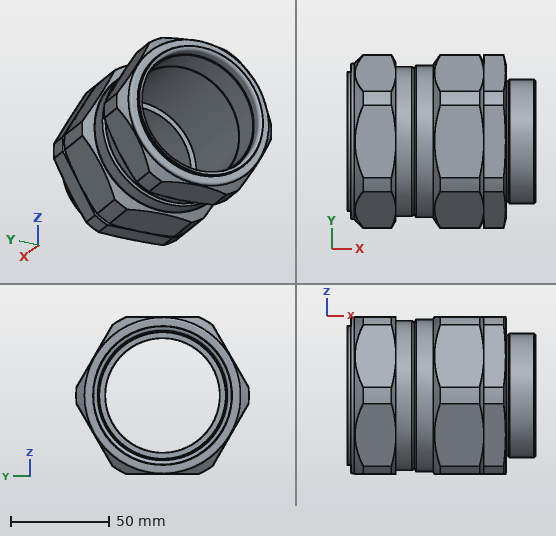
import cadquery as cq
import math

ACROSS_FLATS = 80.0
FLAT_R = ACROSS_FLATS / 2
CORNER_R = 44.0
ACROSS_CORNERS = ACROSS_FLATS / math.cos(math.pi / 6)
TOTAL_LENGTH = 95.7

LIP_R = 35.4
LIP_CHAMFER = 0.3
COLLAR_X = 1.7
COLLAR_R = 39.7
COLLAR_ROUND = 1.1

REAR_NUT_X = 3.5
REAR_NUT_FULL_X = 8.0
REAR_NUT_TAPER_X = 22.4
REAR_NUT_END_X = 24.7

BAND_1_R = 38.1
BAND_1_END_X = 32.8
GROOVE_R = 37.1
GROOVE_X = 34.1
BAND_2_R = 38.7
BAND_2_X = 34.9

MID_NUT_X = 43.5
MID_NUT_START_R = 38.95
MID_NUT_FULL_X = 47.2
MID_NUT_TAPER_X = 67.2
FLANGE_X = 69.4
FLANGE_TAPER_X = 79.4
FLANGE_END_X = 80.8
FLANGE_END_R = 38.6

SPIGOT_R = 31.6
SPIGOT_CHAMFER = 0.9
NECK_R = SPIGOT_R - SPIGOT_CHAMFER
NECK_END_X = 81.7
SPIGOT_X = NECK_END_X + SPIGOT_CHAMFER

MOUTH_R = 33.0
MOUTH_ROUND = 1.7
SEAT_X = 5.8
SEAT_R = 32.4
SLEEVE_X = 21.2
SLEEVE_R = 32.2
THROAT_X = FLANGE_X
THROAT_R = 29.1


def revolve_about_x(outline):
    """Spin a closed outline, drawn as (X, radius), about the X axis."""
    return outline.close().revolve(360, (0, 0, 0), (1, 0, 0))


def turned(points):
    """Solid of revolution whose outer profile is the given (X, radius) points."""
    start_x = points[0][0]
    end_x = points[-1][0]
    return revolve_about_x(cq.Workplane("XY").polyline([(start_x, 0), *points, (end_x, 0)]))


def hexagon(points):
    """Hexagonal section whose corners and ends are turned to the given profile."""
    start_x = points[0][0]
    length = points[-1][0] - start_x
    prism = cq.Workplane("YZ", origin=(start_x, 0, 0)).polygon(6, ACROSS_CORNERS).extrude(length)
    return prism.intersect(turned(points))


def entry_end():
    lip = turned([
        (0, LIP_R - LIP_CHAMFER),
        (LIP_CHAMFER, LIP_R),
        (COLLAR_X, LIP_R),
    ])
    collar = turned([(COLLAR_X, COLLAR_R), (REAR_NUT_X, COLLAR_R)])
    return lip.union(collar.faces("<X").edges().fillet(COLLAR_ROUND))


def bands():
    return turned([
        (REAR_NUT_END_X, BAND_1_R),
        (BAND_1_END_X, BAND_1_R),
        (GROOVE_X, GROOVE_R),
        (BAND_2_X, BAND_2_R),
        (MID_NUT_X, BAND_2_R),
    ])


def spigot():
    return turned([
        (FLANGE_END_X, NECK_R),
        (NECK_END_X, NECK_R),
        (SPIGOT_X, SPIGOT_R),
        (TOTAL_LENGTH - SPIGOT_CHAMFER, SPIGOT_R),
        (TOTAL_LENGTH, SPIGOT_R - SPIGOT_CHAMFER),
    ])


def bore():
    """Stepped through bore with a rounded mouth."""
    bend = MOUTH_ROUND * math.sqrt(0.5)
    round_center_r = MOUTH_R + MOUTH_ROUND
    outline = (
        cq.Workplane("XY")
        .moveTo(0, 0)
        .lineTo(0, round_center_r)
        .threePointArc((MOUTH_ROUND - bend, round_center_r - bend), (MOUTH_ROUND, MOUTH_R))
        .lineTo(SEAT_X, MOUTH_R)
        .lineTo(SEAT_X, SEAT_R)
        .lineTo(SLEEVE_X, SEAT_R)
        .lineTo(SLEEVE_X, SLEEVE_R)
        .lineTo(THROAT_X, SLEEVE_R)
        .lineTo(THROAT_X, THROAT_R)
        .lineTo(TOTAL_LENGTH, THROAT_R)
        .lineTo(TOTAL_LENGTH, 0)
    )
    return revolve_about_x(outline)


rear_nut = hexagon([
    (REAR_NUT_X, COLLAR_R),
    (REAR_NUT_FULL_X, CORNER_R),
    (REAR_NUT_TAPER_X, CORNER_R),
    (REAR_NUT_END_X, FLAT_R),
])
middle_nut = hexagon([
    (MID_NUT_X, MID_NUT_START_R),
    (MID_NUT_FULL_X, CORNER_R),
    (MID_NUT_TAPER_X, CORNER_R),
    (FLANGE_X, FLAT_R),
])
flange = hexagon([
    (FLANGE_X, CORNER_R),
    (FLANGE_TAPER_X, CORNER_R),
    (FLANGE_END_X, FLANGE_END_R),
])

body = entry_end()
for section in (rear_nut, bands(), middle_nut, flange, spigot()):
    body = body.union(section)

result = body.cut(bore())